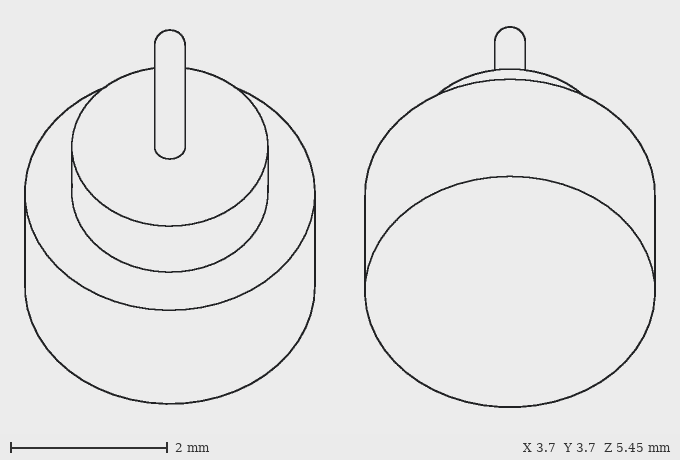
import cadquery as cq

total_height = 5.45
base_diameter = 3.7

base_height = 2.045
collar_diameter = 2.5
collar_height = 1.005

pin_diameter = 0.39
pin_radius = pin_diameter / 2
body_height = base_height + collar_height
pin_length = total_height - body_height


def make_body():
    """Wide base with a narrower collar on top."""
    base = cq.Workplane("XY").circle(base_diameter / 2).extrude(base_height)
    return base.faces(">Z").workplane().circle(collar_diameter / 2).extrude(collar_height)


def make_pin():
    """Slender pin ending in a hemisphere, standing on the collar."""
    shank_length = pin_length - pin_radius
    shank_top = body_height + shank_length
    shank = cq.Workplane("XY").workplane(offset=body_height).circle(pin_radius).extrude(shank_length)
    tip = cq.Workplane("XY").sphere(pin_radius).translate((0, 0, shank_top))
    return shank.union(tip)


result = make_body().union(make_pin())